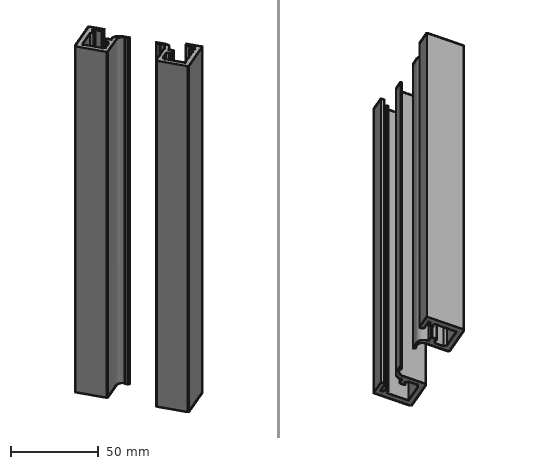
import cadquery as cq
import math

LENGTH = 228.0
OVERALL_WIDTH = 69.0
DEPTH = 24.0

CHANNEL_WIDTH = 19.8
BASE_THICKNESS = 3.5
INNER_WALL_THICKNESS = 2.7
LIP_LENGTH = 9.5
LIP_THICKNESS = 2.7
CORNER_CHAMFER = 0.7
INSIDE_CORNER_CHAMFER = 1.4

INNER_FACE = CHANNEL_WIDTH - INNER_WALL_THICKNESS

ARM_START = 15.3
OUTER_ARC_RADIUS = 4.5
ARM_THROAT = 1.0
UNDERSIDE_RADIUS = OUTER_ARC_RADIUS - ARM_THROAT
ARM_TOP = ARM_START + OUTER_ARC_RADIUS
ARM_UNDERSIDE = ARM_TOP - ARM_THROAT
ARM_TIP = 26.5
BEAD_THICKNESS = 1.4
BEAD_CHAMFER = 0.7

TOOTH_BASE_TOP = 19.8
TOOTH_TIP_TOP = 19.0
TOOTH_TIP_MID = 18.0
TOOTH_BOTTOM = 17.0
TOOTH_REACH = 2.7
TOOTH_TIP_CHAMFER = 0.7
TOOTH_HOLLOW_RISE = 0.5

RIB_REACH = 3.5
RIB_TOP = 14.4
RIB_UNDERSIDE = 11.5
RIB_HOOK_BOTTOM = 10.7
RIB_HOOK_WIDTH = 1.1
RIB_TIP_CHAMFER = 0.7
RIB_ROOT_CHAMFER = 1.4


def arc_point(center_x, center_y, radius):
    """Middle of a quarter arc that runs from its leftmost to its topmost point."""
    offset = radius * math.sqrt(0.5)
    return (center_x - offset, center_y + offset)


def extrude_points(points):
    return cq.Workplane("XY").polyline(points).close().extrude(LENGTH)


def make_channel():
    """Front wall, both side walls and the lip of the outer wall."""
    c = CORNER_CHAMFER
    lip_underside = DEPTH - LIP_THICKNESS
    return extrude_points([
        (c, 0),
        (CHANNEL_WIDTH - c, 0),
        (CHANNEL_WIDTH, c),
        (CHANNEL_WIDTH, ARM_START),
        (INNER_FACE, ARM_START),
        (INNER_FACE, BASE_THICKNESS + INSIDE_CORNER_CHAMFER),
        (INNER_FACE - INSIDE_CORNER_CHAMFER, BASE_THICKNESS),
        (BASE_THICKNESS, BASE_THICKNESS),
        (BASE_THICKNESS, lip_underside),
        (LIP_LENGTH - c, lip_underside),
        (LIP_LENGTH, lip_underside + c),
        (LIP_LENGTH, DEPTH),
        (0, DEPTH),
        (0, c),
    ])


def make_arm():
    """Arm that curves away from the channel, thins out and ends in a bead."""
    outer_center = INNER_FACE + OUTER_ARC_RADIUS
    underside_center = CHANNEL_WIDTH + UNDERSIDE_RADIUS
    bead_bottom = ARM_TOP - BEAD_THICKNESS
    return (
        cq.Workplane("XY")
        .moveTo(INNER_FACE, ARM_START)
        .threePointArc(arc_point(outer_center, ARM_START, OUTER_ARC_RADIUS), (outer_center, ARM_TOP))
        .lineTo(ARM_TIP, ARM_TOP)
        .lineTo(ARM_TIP, bead_bottom + BEAD_CHAMFER)
        .lineTo(ARM_TIP - BEAD_CHAMFER, bead_bottom)
        .lineTo(underside_center + BEAD_CHAMFER, bead_bottom)
        .lineTo(underside_center, ARM_UNDERSIDE)
        .threePointArc(
            arc_point(underside_center, ARM_START, UNDERSIDE_RADIUS), (CHANNEL_WIDTH, ARM_START)
        )
        .close()
        .extrude(LENGTH)
    )


def make_tooth():
    """Hook on the outer wall, with a hollow underside."""
    tip = BASE_THICKNESS + TOOTH_REACH
    heel = tip - TOOTH_TIP_CHAMFER
    return (
        cq.Workplane("XY")
        .moveTo(0, TOOTH_BASE_TOP)
        .lineTo(BASE_THICKNESS, TOOTH_BASE_TOP)
        .lineTo(heel, TOOTH_TIP_TOP)
        .lineTo(tip, TOOTH_TIP_MID)
        .lineTo(heel, TOOTH_BOTTOM)
        .threePointArc(
            ((BASE_THICKNESS + heel) / 2, TOOTH_BOTTOM + TOOTH_HOLLOW_RISE),
            (BASE_THICKNESS, TOOTH_BOTTOM),
        )
        .lineTo(0, TOOTH_BOTTOM)
        .close()
        .extrude(LENGTH)
    )


def make_rib():
    """Rib on the inner wall, with a hooked tip and a sloping root."""
    tip = INNER_FACE - RIB_REACH
    return extrude_points([
        (CHANNEL_WIDTH, RIB_TOP),
        (tip + RIB_TIP_CHAMFER, RIB_TOP),
        (tip, RIB_TOP - RIB_TIP_CHAMFER),
        (tip, RIB_HOOK_BOTTOM),
        (tip + RIB_TIP_CHAMFER, RIB_HOOK_BOTTOM),
        (tip + RIB_HOOK_WIDTH, RIB_UNDERSIDE),
        (INNER_FACE - RIB_ROOT_CHAMFER, RIB_UNDERSIDE),
        (INNER_FACE, RIB_UNDERSIDE - RIB_ROOT_CHAMFER),
        (CHANNEL_WIDTH, RIB_UNDERSIDE - RIB_ROOT_CHAMFER),
    ])


def make_left_profile():
    """One complete profile, its outer wall on the -X side of the assembly."""
    profile = make_channel().union(make_arm()).union(make_tooth()).union(make_rib())
    return profile.translate((-OVERALL_WIDTH / 2, -DEPTH / 2, -LENGTH / 2))


left_profile = make_left_profile()
right_profile = make_left_profile().mirror("YZ")

result = cq.Compound.makeCompound([left_profile.val(), right_profile.val()])